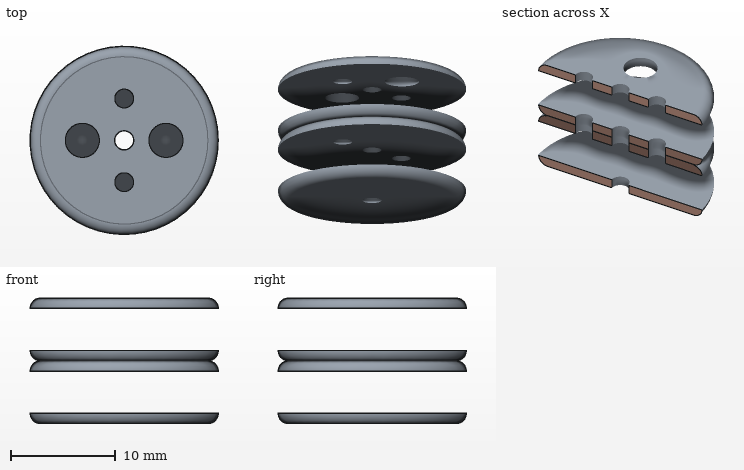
import cadquery as cq

DISC_DIAMETER = 18.0
STACK_HEIGHT = 12.0
DISC_THICKNESS = STACK_HEIGHT / 12
PAIR_MID_HEIGHT = STACK_HEIGHT / 2

SMALL_HOLE_DIAMETER = 1.8
LARGE_HOLE_DIAMETER = 3.25
HOLE_OFFSET = 4.0

CENTER = [(0, 0)]
Y_PAIR = [(0, -HOLE_OFFSET), (0, HOLE_OFFSET)]
X_PAIR = [(-HOLE_OFFSET, 0), (HOLE_OFFSET, 0)]


def rounded_disc(narrow_z, wide_z):
    """Disc with a quarter-round rim, from its narrow face to its wide face."""
    radius = DISC_DIAMETER / 2
    face_radius = radius - DISC_THICKNESS
    arc_reach = DISC_THICKNESS * 0.5**0.5
    arc_z = wide_z + (narrow_z - wide_z) * 0.5**0.5
    return (
        cq.Workplane("XZ")
        .moveTo(0, wide_z)
        .lineTo(radius, wide_z)
        .threePointArc((face_radius + arc_reach, arc_z), (face_radius, narrow_z))
        .lineTo(0, narrow_z)
        .close()
        .revolve(360, (0, 0, 0), (0, 1, 0))
    )


def drill(disc, places, diameter):
    """Cut vertical through holes of one diameter in a disc."""
    drills = cq.Workplane("XY").pushPoints(places).circle(diameter / 2).extrude(STACK_HEIGHT)
    return disc.cut(drills).solids()


def make_top_disc():
    """Narrow face up, with a center hole and two pairs of outer holes."""
    disc = rounded_disc(STACK_HEIGHT, STACK_HEIGHT - DISC_THICKNESS)
    disc = drill(disc, CENTER + Y_PAIR, SMALL_HOLE_DIAMETER)
    return drill(disc, X_PAIR, LARGE_HOLE_DIAMETER)


def make_upper_middle_disc():
    """Wide face up, with a row of three small holes along Y."""
    disc = rounded_disc(PAIR_MID_HEIGHT, PAIR_MID_HEIGHT + DISC_THICKNESS)
    return drill(disc, CENTER + Y_PAIR, SMALL_HOLE_DIAMETER)


def make_lower_middle_disc():
    """Wide face down, with the same row of small holes as its mate."""
    disc = rounded_disc(PAIR_MID_HEIGHT, PAIR_MID_HEIGHT - DISC_THICKNESS)
    return drill(disc, CENTER + Y_PAIR, SMALL_HOLE_DIAMETER)


def make_bottom_disc():
    """Wide face up, with only the center hole."""
    disc = rounded_disc(0, DISC_THICKNESS)
    return drill(disc, CENTER, SMALL_HOLE_DIAMETER)


top_disc = make_top_disc()
upper_middle_disc = make_upper_middle_disc()
lower_middle_disc = make_lower_middle_disc()
bottom_disc = make_bottom_disc()

result = cq.Compound.makeCompound(
    [top_disc.val(), upper_middle_disc.val(), lower_middle_disc.val(), bottom_disc.val()]
)